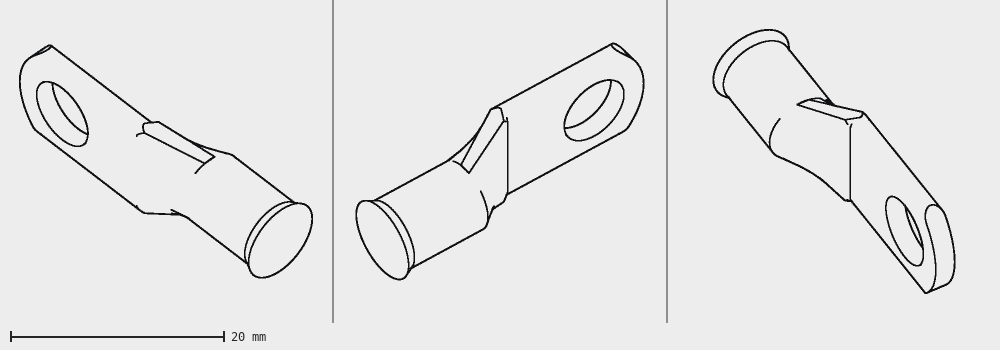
import cadquery as cq
import math

total_length = 31.8
tongue_length = 15.95
barrel_start = 22.13
flare_start = 30.75

barrel_radius = 3.62
flare_diameter = 8.23

tongue_width = 11.45
tongue_thickness = 2.07
edge_radius = 1.02
tip_radius = 7.28
hole_x = 5.82
hole_radius = 3.5
tongue_middle_y = tongue_thickness / 2 - barrel_radius

chord_top_y = 0.65
chord_bottom_y = -0.65


def tongue_section():
    """Sharp rectangle where the tongue meets the neck."""
    top_y = tongue_middle_y + tongue_thickness / 2
    bottom_y = -barrel_radius
    half_width = tongue_width / 2
    corners = [
        (top_y, half_width),
        (top_y, -half_width),
        (bottom_y, -half_width),
        (bottom_y, half_width),
    ]
    return cq.Wire.makePolygon([cq.Vector(tongue_length, y, z) for y, z in corners], close=True)


def barrel_section():
    """Barrel circle with a flat chord at +Z and at -Z."""

    def circle_point(y, z_sign):
        return cq.Vector(barrel_start, y, z_sign * math.sqrt(barrel_radius**2 - y**2))

    top_arc = cq.Edge.makeThreePointArc(
        circle_point(chord_top_y, 1),
        cq.Vector(barrel_start, barrel_radius, 0),
        circle_point(chord_top_y, -1),
    )
    bottom_arc = cq.Edge.makeThreePointArc(
        circle_point(chord_bottom_y, -1),
        cq.Vector(barrel_start, -barrel_radius, 0),
        circle_point(chord_bottom_y, 1),
    )
    lower_chord = cq.Edge.makeLine(top_arc.endPoint(), bottom_arc.startPoint())
    upper_chord = cq.Edge.makeLine(bottom_arc.endPoint(), top_arc.startPoint())
    return cq.Wire.assembleEdges([top_arc, lower_chord, bottom_arc, upper_chord])


def make_tongue():
    """Tongue with a rounded tip, still square along its long edges."""
    half_width = tongue_width / 2
    shoulder_x = tip_radius - math.sqrt(tip_radius**2 - half_width**2)
    return (
        cq.Workplane("XZ", origin=(0, tongue_middle_y + tongue_thickness / 2, 0))
        .moveTo(shoulder_x, -half_width)
        .threePointArc((0, 0), (shoulder_x, half_width))
        .lineTo(tongue_length, half_width)
        .lineTo(tongue_length, -half_width)
        .close()
        .extrude(tongue_thickness)
    )


def make_neck():
    return cq.Workplane(cq.Solid.makeLoft([tongue_section(), barrel_section()], True))


def make_tongue_hole():
    return cq.Workplane("XZ").center(hole_x, 0).circle(hole_radius).extrude(barrel_radius)


def make_barrel():
    profile = (
        cq.Workplane("XY")
        .moveTo(barrel_start, 0)
        .lineTo(barrel_start, barrel_radius)
        .lineTo(flare_start, barrel_radius)
        .lineTo(total_length, flare_diameter / 2)
        .lineTo(total_length, 0)
        .close()
    )
    return profile.revolve(360, (0, 0, 0), (1, 0, 0))


long_edges = cq.selectors.BoxSelector(
    (0, -total_length, -total_length),
    (tongue_length, total_length, total_length),
)
blade = make_tongue().union(make_neck())
blade = blade.edges("|X").edges(long_edges).fillet(edge_radius)
result = blade.cut(make_tongue_hole()).union(make_barrel())